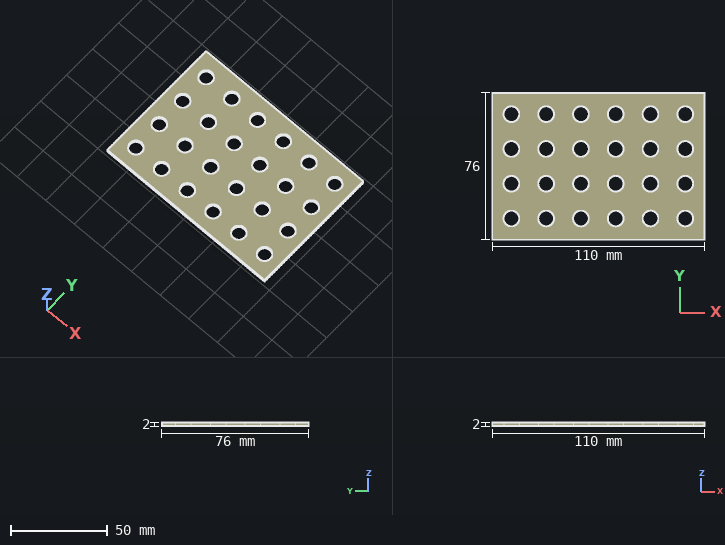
import cadquery as cq

length = 110.0
width = 76.0
thickness = 2.0

hole_diameter = 8.0
columns = 6
rows = 4
end_margin = 10.0
pitch = (length - 2 * end_margin) / (columns - 1)

plate = cq.Workplane("XY").box(length, width, thickness)

result = (
    plate.faces(">Z")
    .workplane()
    .rarray(pitch, pitch, columns, rows)
    .hole(hole_diameter)
)